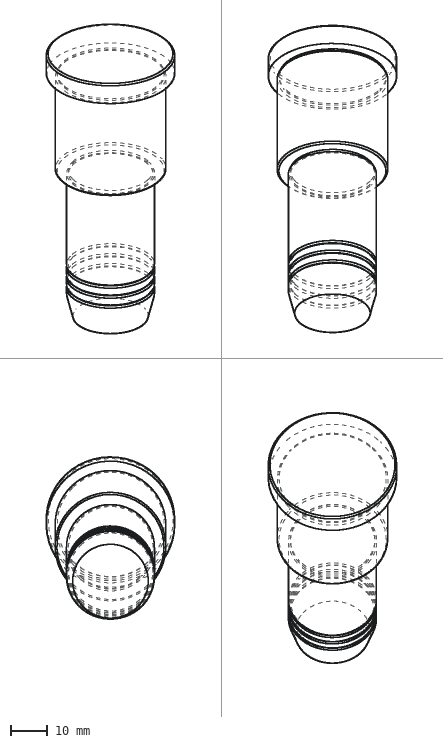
import cadquery as cq

total_length = 81.0
flange_height = 6.0
body_bottom = 45.0

flange_radius = 17.5
body_radius = 15.1
pin_radius = 12.0
tip_radius = 10.3

edge_chamfer = 0.5
relief_depth = 0.5
relief_width = 1.0
taper_height = 6.8

groove_count = 3
groove_depth = 0.5
groove_width = 1.0
groove_pitch = 3.1
first_groove_height = 9.3

flange_bottom = total_length - flange_height


def revolve_profile(points):
    """Turn a closed (radius, height) outline around the Z axis."""
    return cq.Workplane("XZ").polyline(points).close().revolve(360, (0, 0, 0), (0, 1, 0))


def flange():
    disc = cq.Workplane("XY").workplane(offset=flange_bottom).circle(flange_radius).extrude(flange_height)
    return disc.faces(">Z").edges().chamfer(edge_chamfer)


def body():
    """Middle cylinder with a relief under the flange and a chamfered lower edge."""
    neck_radius = body_radius - relief_depth
    body_top = flange_bottom - relief_width
    return revolve_profile([
        (0, body_bottom),
        (body_radius - edge_chamfer, body_bottom),
        (body_radius, body_bottom + edge_chamfer),
        (body_radius, body_top),
        (neck_radius, body_top + relief_depth),
        (neck_radius, flange_bottom),
        (0, flange_bottom),
    ])


def pin():
    """Lower cylinder with a tapered tip and a stepped relief under the body."""
    neck_radius = pin_radius - relief_depth
    pin_top = body_bottom - relief_width
    return revolve_profile([
        (0, 0),
        (tip_radius, 0),
        (pin_radius, taper_height),
        (pin_radius, pin_top),
        (neck_radius, pin_top),
        (neck_radius, body_bottom),
        (0, body_bottom),
    ])


def v_groove(height):
    """Ring that cuts a V groove centred at the given height."""
    half_width = groove_width / 2
    return revolve_profile([
        (pin_radius - groove_depth, height),
        (pin_radius, height + half_width),
        (flange_radius, height + half_width),
        (flange_radius, height - half_width),
        (pin_radius, height - half_width),
    ])


result = flange().union(body()).union(pin())
for index in range(groove_count):
    result = result.cut(v_groove(first_groove_height + index * groove_pitch))